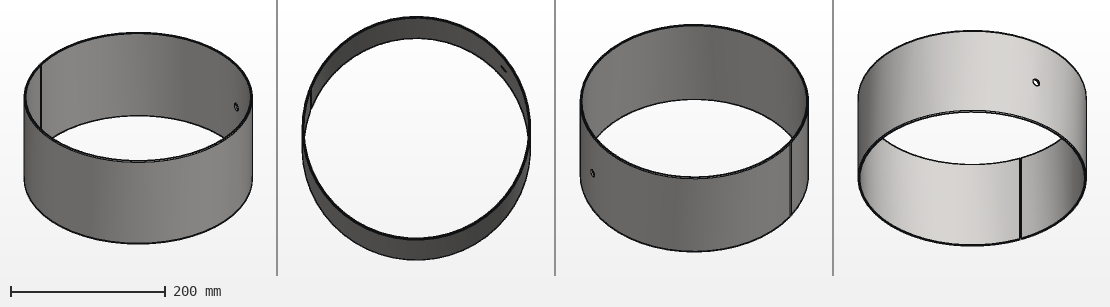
import cadquery as cq
import math

outer_diameter = 295.0
wall_thickness = 2.5
height = 130.0

outer_chamfer_height = 1.8
outer_chamfer_tilt = 20.0
inner_chamfer = 0.8

slit_angle = 1.0
slit_start_angle = 179.0

hole_diameter = 10.0
hole_angle_from_slit = 120.0
hole_height = height / 2

outer_radius = outer_diameter / 2
inner_radius = outer_radius - wall_thickness
outer_chamfer_depth = outer_chamfer_height * math.tan(math.radians(outer_chamfer_tilt))
sweep_angle = 360.0 - slit_angle
slit_end_angle = slit_start_angle + slit_angle
hole_angle = slit_start_angle - hole_angle_from_slit

ORIGIN = (0, 0, 0)
Z_AXIS = (0, 0, 1)


def make_ring():
    """Open band, swept from one slit wall to the other, with chamfered rims."""
    wall_section = (
        cq.Workplane("XZ")
        .moveTo(inner_radius, inner_chamfer)
        .lineTo(inner_radius + inner_chamfer, 0)
        .lineTo(outer_radius - outer_chamfer_depth, 0)
        .lineTo(outer_radius, outer_chamfer_height)
        .lineTo(outer_radius, height - outer_chamfer_height)
        .lineTo(outer_radius - outer_chamfer_depth, height)
        .lineTo(inner_radius + inner_chamfer, height)
        .lineTo(inner_radius, height - inner_chamfer)
        .close()
    )
    ring = wall_section.revolve(sweep_angle, (0, 0, 0), (0, 1, 0))
    return ring.rotate(ORIGIN, Z_AXIS, slit_end_angle)


def make_hole():
    """Radial cutter for the round hole, passing through one wall only."""
    return (
        cq.Workplane("YZ")
        .center(0, hole_height)
        .circle(hole_diameter / 2)
        .extrude(outer_diameter)
        .rotate(ORIGIN, Z_AXIS, hole_angle)
    )


result = make_ring().cut(make_hole())